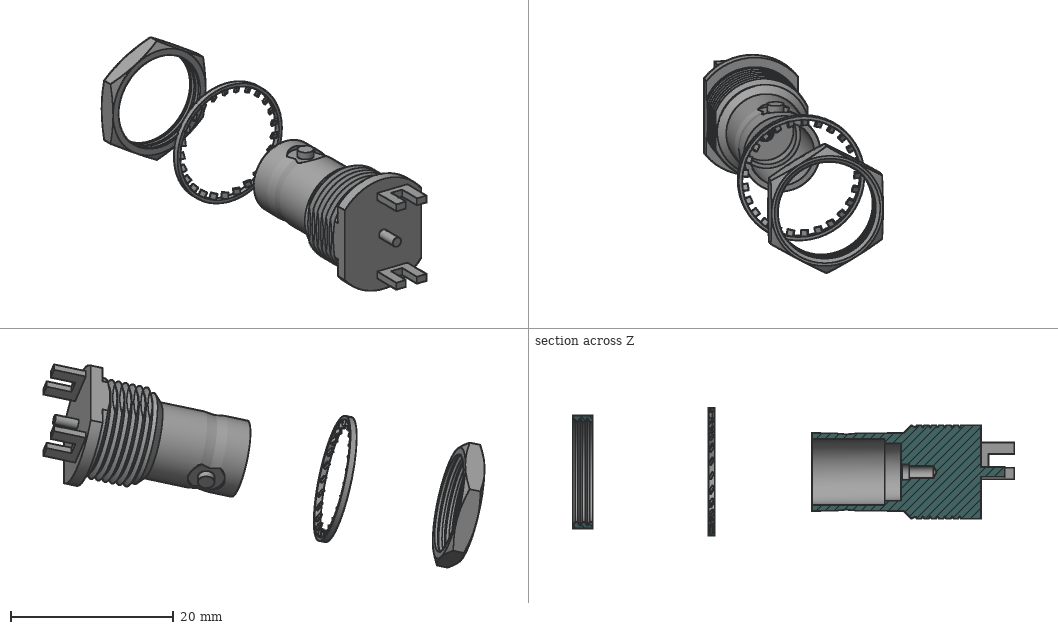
import cadquery as cq
import math


THREAD_RADIUS = 6.27
THREAD_PITCH = 0.907
THREAD_DEPTH = 0.75
HALF_THREAD_ANGLE = math.radians(30)

BARREL_RADIUS = 4.82
BARREL_FRONT = -20.89
GROOVE_CENTRE = -16.62
GROOVE_WIDTH = 2.64
GROOVE_DEPTH = 0.17
BAYONET_RADIUS = 1.03
BAYONET_TIP_HEIGHT = 5.3
SPOT_FACE_RADIUS = 2.3
SPOT_FACE_HEIGHT = 4.38

SHOULDER_FRONT = -9.56
SHOULDER_RADIUS = 5.77
SHOULDER_END = SHOULDER_FRONT + SHOULDER_RADIUS - BARREL_RADIUS
FIRST_CREST = -7.64
CREST_COUNT = 7
FLANGE_THICKNESS = 1.52
FLANGE_RADIUS = 7.47
FLAT_HALF_WIDTH = 5.78

MOUTH_RADIUS = 4.05
MOUTH_DEPTH = 9.0
INNER_BORE_RADIUS = 3.55
INNER_BORE_DEPTH = 11.0
CONTACT_ENTRY_RADIUS = 1.12
CONTACT_MOUTH_RADIUS = 0.95
CONTACT_MOUTH_DEPTH = 1.0
CONTACT_RADIUS = 0.72
CONTACT_DEPTH = 4.0
CONTACT_POINT_LENGTH = 0.4

CENTRE_PIN_RADIUS = 0.62
CENTRE_PIN_LENGTH = 2.95
POST_LENGTH = 4.1
POST_THICKNESS = 0.95
POST_HEIGHT = 5.32
POST_WIDTH = 4.55
POST_CENTRE_Y = 1.38
POST_SLOT_WIDTH = 1.65
POST_SLOT_START = 0.92

TOTAL_LENGTH = 54.49
NUT_FRONT = POST_LENGTH - TOTAL_LENGTH
NUT_THICKNESS = 2.48
NUT_ACROSS_CORNERS = 16.17
NUT_FLAT_RADIUS = NUT_ACROSS_CORNERS / 2 * math.cos(math.pi / 6)
NUT_CHAMFER_ANGLE = math.radians(27)
NUT_BORE_RADIUS = 6.15
NUT_GROOVE_RADIUS = 6.64
NUT_GROOVE_COUNT = 3

NUT_TO_WASHER = 16.74
WASHER_FRONT = NUT_FRONT + NUT_TO_WASHER
WASHER_THICKNESS = 0.8
WASHER_RADIUS = 7.9
WASHER_RING_INNER_RADIUS = 7.45
TOOTH_COUNT = 25
TOOTH_TIP_RADIUS = 6.7
TOOTH_WIDTH = 0.85
TOOTH_THICKNESS = 0.3
TOOTH_TWIST = -30

JOIN_OVERLAP = 0.2


def revolve_about_x(points):
    """Solid of revolution about X from a closed outline of (x, radius) points."""
    return cq.Workplane("XZ").polyline(points).close().revolve(360, (0, 0, 0), (1, 0, 0))


def cylinder_x(start, end, radius):
    """Cylinder on the X axis."""
    return cq.Workplane("YZ", origin=(start, 0, 0)).circle(radius).extrude(end - start)


def cylinder_z(x, bottom, top, radius):
    """Upright cylinder centred at the given X."""
    return cq.Workplane("XY", origin=(x, 0, bottom)).circle(radius).extrude(top - bottom)


def jack_outline():
    """Half section of the jack's turned outside, down to the axis."""
    half_groove = GROOVE_WIDTH / 2
    half_crest_base = THREAD_DEPTH * math.tan(HALF_THREAD_ANGLE)
    root_radius = THREAD_RADIUS - THREAD_DEPTH
    points = [
        (BARREL_FRONT, 0),
        (BARREL_FRONT, BARREL_RADIUS),
        (GROOVE_CENTRE - half_groove, BARREL_RADIUS),
        (GROOVE_CENTRE, BARREL_RADIUS - GROOVE_DEPTH),
        (GROOVE_CENTRE + half_groove, BARREL_RADIUS),
        (SHOULDER_FRONT, BARREL_RADIUS),
        (SHOULDER_END, SHOULDER_RADIUS),
    ]
    for index in range(CREST_COUNT):
        crest = FIRST_CREST + index * THREAD_PITCH
        points.append((crest - half_crest_base, root_radius))
        points.append((crest, THREAD_RADIUS))
        if index < CREST_COUNT - 1:
            points.append((crest + half_crest_base, root_radius))
    points += [
        (-FLANGE_THICKNESS, THREAD_RADIUS),
        (-FLANGE_THICKNESS, FLANGE_RADIUS),
        (0, FLANGE_RADIUS),
        (0, 0),
    ]
    return points


def socket():
    """Stepped bore with the countersunk, stepped and drill-pointed contact hole in its floor."""
    step = BARREL_FRONT + MOUTH_DEPTH
    floor = BARREL_FRONT + INNER_BORE_DEPTH
    entry_depth = CONTACT_ENTRY_RADIUS - CONTACT_MOUTH_RADIUS
    return revolve_about_x([
        (BARREL_FRONT, 0),
        (BARREL_FRONT, MOUTH_RADIUS),
        (step, MOUTH_RADIUS),
        (step, INNER_BORE_RADIUS),
        (floor, INNER_BORE_RADIUS),
        (floor, CONTACT_ENTRY_RADIUS),
        (floor + entry_depth, CONTACT_MOUTH_RADIUS),
        (floor + CONTACT_MOUTH_DEPTH, CONTACT_MOUTH_RADIUS),
        (floor + CONTACT_MOUTH_DEPTH, CONTACT_RADIUS),
        (floor + CONTACT_DEPTH, CONTACT_RADIUS),
        (floor + CONTACT_DEPTH + CONTACT_POINT_LENGTH, 0),
    ])


def solder_post(side):
    """Forked ground post above (side = 1) or below (side = -1) the axis."""
    post = cq.Workplane("XY").box(POST_LENGTH + JOIN_OVERLAP, POST_WIDTH, POST_THICKNESS)
    post = post.translate(((POST_LENGTH - JOIN_OVERLAP) / 2, POST_CENTRE_Y, side * POST_HEIGHT))
    slot = cq.Workplane("XY").box(POST_LENGTH, POST_SLOT_WIDTH, 2 * POST_THICKNESS)
    slot_x = POST_SLOT_START + POST_LENGTH / 2
    return post.cut(slot.translate((slot_x, POST_CENTRE_Y, side * POST_HEIGHT)))


def bayonet_lug(side):
    """Bayonet lug reaching from inside the barrel wall to its tip."""
    root = (MOUTH_RADIUS + SPOT_FACE_HEIGHT) / 2
    lug = cylinder_z(GROOVE_CENTRE, root, BAYONET_TIP_HEIGHT, BAYONET_RADIUS)
    return lug if side > 0 else lug.mirror("XY")


def spot_face(side):
    """Material removed to leave a flat round seat for a bayonet lug."""
    cutter = cylinder_z(GROOVE_CENTRE, SPOT_FACE_HEIGHT, BAYONET_TIP_HEIGHT, SPOT_FACE_RADIUS)
    return cutter if side > 0 else cutter.mirror("XY")


def make_jack():
    jack = revolve_about_x(jack_outline())

    jack_length = -BARREL_FRONT
    flats = cq.Workplane("XY").box(jack_length, 2 * FLAT_HALF_WIDTH, 2 * FLANGE_RADIUS)
    jack = jack.intersect(flats.translate((BARREL_FRONT / 2, 0, 0)))

    for side in (1, -1):
        jack = jack.cut(spot_face(side)).union(bayonet_lug(side))
    jack = jack.cut(socket())

    for side in (1, -1):
        jack = jack.union(solder_post(side))
    return jack.union(cylinder_x(-JOIN_OVERLAP, CENTRE_PIN_LENGTH, CENTRE_PIN_RADIUS))


def nut_envelope():
    """Turned envelope whose end chamfers start at the inscribed circle of the hexagon."""
    corner_radius = NUT_ACROSS_CORNERS / 2
    chamfer_length = (corner_radius - NUT_FLAT_RADIUS) * math.tan(NUT_CHAMFER_ANGLE)
    back = NUT_FRONT + NUT_THICKNESS
    return revolve_about_x([
        (NUT_FRONT, 0),
        (NUT_FRONT, NUT_FLAT_RADIUS),
        (NUT_FRONT + chamfer_length, corner_radius),
        (back - chamfer_length, corner_radius),
        (back, NUT_FLAT_RADIUS),
        (back, 0),
    ])


def nut_bore():
    """Bore with V grooves; the first groove is centred on the front face, so only half of it cuts."""
    back = NUT_FRONT + NUT_THICKNESS
    half_groove = (NUT_GROOVE_RADIUS - NUT_BORE_RADIUS) * math.tan(HALF_THREAD_ANGLE)
    points = [(NUT_FRONT - half_groove, 0)]
    for index in range(NUT_GROOVE_COUNT):
        groove = NUT_FRONT + index * THREAD_PITCH
        points.append((groove - half_groove, NUT_BORE_RADIUS))
        points.append((groove, NUT_GROOVE_RADIUS))
        points.append((groove + half_groove, NUT_BORE_RADIUS))
    points += [(back, NUT_BORE_RADIUS), (back, 0)]
    return revolve_about_x(points)


def make_nut():
    hexagon = (
        cq.Workplane("YZ", origin=(NUT_FRONT, 0, 0))
        .transformed(rotate=(0, 0, 90))
        .polygon(6, NUT_ACROSS_CORNERS)
        .extrude(NUT_THICKNESS)
    )
    return hexagon.intersect(nut_envelope()).cut(nut_bore())


def make_washer():
    washer = (
        cq.Workplane("YZ", origin=(WASHER_FRONT, 0, 0))
        .circle(WASHER_RADIUS)
        .circle(WASHER_RING_INNER_RADIUS)
        .extrude(WASHER_THICKNESS)
    )
    tooth_length = WASHER_RING_INNER_RADIUS + JOIN_OVERLAP - TOOTH_TIP_RADIUS
    tooth = (
        cq.Workplane("XY")
        .box(TOOTH_THICKNESS, tooth_length, TOOTH_WIDTH)
        .rotate((0, 0, 0), (0, 1, 0), TOOTH_TWIST)
        .translate((WASHER_FRONT + WASHER_THICKNESS / 2, -TOOTH_TIP_RADIUS - tooth_length / 2, 0))
    )
    for index in range(TOOTH_COUNT):
        washer = washer.union(tooth.rotate((0, 0, 0), (1, 0, 0), index * 360 / TOOTH_COUNT))
    return washer


jack = make_jack()
nut = make_nut()
washer = make_washer()

result = cq.Compound.makeCompound([jack.val(), nut.val(), washer.val()])